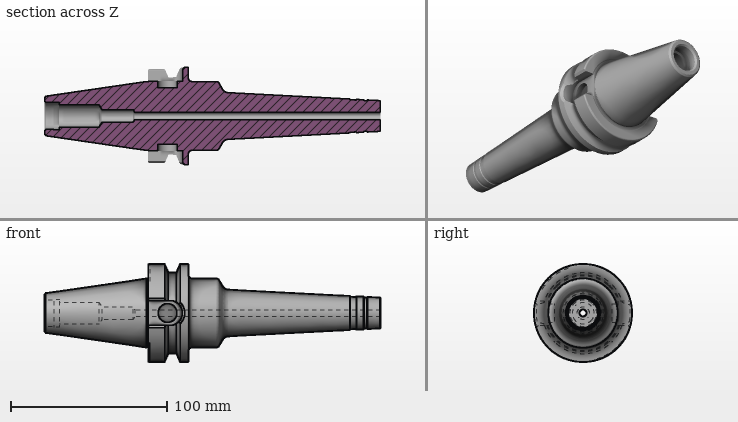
import cadquery as cq
import math


taper_length = 65.4
gauge_diameter = 44.45
taper_ratio = 7 / 24
taper_end_chamfer = 1.0

relief_diameter = 44.0
relief_chamfer = 0.4
face_recess_diameter = 49.2
face_recess_depth = 0.2
face_recess_bevel = 0.6

flange_diameter = 63.0
flange_front_x = 1.0
flange_back_x = 27.0
flange_fillet = 1.0
groove_center_x = 16.6
groove_width = 10.0
groove_floor_width = 5.0
groove_floor_diameter = 52.0

neck_diameter = 44.5
neck_root_fillet = 2.0
neck_edge_fillet = 2.5
neck_end_x = 45.9
shoulder_angle = 60.0
shoulder_foot_fillet = 4.0

tip_x = 150.0
tip_diameter = 20.0
cone_angle = 3.0
tip_chamfer = 0.5
ring_grooves = [(130.1, 134.7), (139.0, 141.6)]
ring_groove_depth = 0.45

slot_width = 16.0
slot_end_center_x = 15.0
slot_floor_y = 22.3
slot_chamfer = 1.5
dimple_diameter = 12.0
dimple_x = 13.5
dimple_depth = 4.0

pilot_diameter = 17.0
pilot_chamfer = 1.0
pilot_depth = 6.0
undercut_diameter = 17.6
undercut_end_depth = 9.5
thread_bore_diameter = 13.84
thread_bore_depth = 35.0
middle_bore_diameter = 8.0
middle_bore_length = 20.0
through_diameter = 4.3
drill_point_angle = 118.0

TOLERANCE = 0.01

taper_start_x = -taper_length
taper_end_radius = (gauge_diameter - taper_length * taper_ratio) / 2


def cone_radius(x):
    return tip_diameter / 2 + (tip_x - x) * math.tan(math.radians(cone_angle))


def revolve(points):
    return cq.Workplane("XY").polyline(points).close().revolve(360, (0, 0, 0), (1, 0, 0))


def circles_at(x, diameter):
    """Selector for circular edges centred on the axis at x, no wider than the diameter."""
    reach = diameter / 2 + TOLERANCE
    return cq.selectors.BoxSelector(
        (x - TOLERANCE, -reach, -reach), (x + TOLERANCE, reach, reach), boundingbox=True
    )


def make_taper():
    """Taper and the short relief that joins it to the flange."""
    gauge_radius = gauge_diameter / 2
    relief_radius = relief_diameter / 2
    joint_x = flange_front_x + face_recess_depth
    return revolve([
        (taper_start_x, 0),
        (taper_start_x, taper_end_radius - taper_end_chamfer),
        (taper_start_x + taper_end_chamfer, taper_end_radius + taper_end_chamfer * taper_ratio / 2),
        (0, gauge_radius),
        (relief_chamfer, relief_radius),
        (joint_x, relief_radius),
        (joint_x, 0),
    ])


def make_flange_profile():
    """Turned shape of the flange: rounded rims, V groove and recessed front face."""
    radius = flange_diameter / 2
    floor_radius = groove_floor_diameter / 2
    recess_radius = face_recess_diameter / 2
    recess_x = flange_front_x + face_recess_depth
    disc = revolve([
        (recess_x, 0),
        (recess_x, recess_radius - face_recess_bevel),
        (flange_front_x, recess_radius),
        (flange_front_x, radius),
        (groove_center_x - groove_width / 2, radius),
        (groove_center_x - groove_floor_width / 2, floor_radius),
        (groove_center_x + groove_floor_width / 2, floor_radius),
        (groove_center_x + groove_width / 2, radius),
        (flange_back_x, radius),
        (flange_back_x, 0),
    ])
    outer_rim = cq.selectors.RadiusNthSelector(-1)
    disc = disc.faces("<X").edges(outer_rim).fillet(flange_fillet)
    return disc.faces(">X").edges().fillet(flange_fillet)


def make_slot_cutter(side):
    """Round-ended slot, open towards the taper, on the +Y (side = 1) or -Y (side = -1) side."""
    depth = flange_diameter / 2
    straight_length = slot_end_center_x - flange_front_x
    plane = cq.Workplane("XZ", origin=(slot_end_center_x, side * slot_floor_y, 0))
    straight = plane.center(-straight_length / 2, 0).rect(straight_length, slot_width).extrude(-side * depth)
    return straight.union(plane.circle(slot_width / 2).extrude(-side * depth))


def make_flange():
    """Flange with two drive slots whose outer edges are chamfered."""
    blank = (
        cq.Workplane("YZ", origin=(flange_front_x, 0, 0))
        .circle(flange_diameter / 2).extrude(flange_back_x - flange_front_x)
    )
    for side in (-1, 1):
        blank = blank.cut(make_slot_cutter(side))
    edge_reach = slot_width / 2 + TOLERANCE
    wall_middle_y = (slot_floor_y + flange_diameter / 2) / 2
    for side in (-1, 1):
        near_y, far_y = sorted((side * wall_middle_y, side * flange_diameter))
        slot_rim = cq.selectors.BoxSelector(
            (flange_front_x + TOLERANCE, near_y, -edge_reach), (flange_back_x - TOLERANCE, far_y, edge_reach)
        )
        blank = blank.edges(slot_rim).chamfer(slot_chamfer)
    return blank.intersect(make_flange_profile())


def make_dimple(side):
    """Round recess in the floor of the drive slot on the given side."""
    return (
        cq.Workplane("XZ", origin=(dimple_x, side * slot_floor_y, 0))
        .circle(dimple_diameter / 2).extrude(side * dimple_depth)
    )


def make_neck_and_cone():
    """Neck, sloping shoulder and slender cone; starts with a disc inside the flange."""
    neck_radius = neck_diameter / 2
    root_radius = neck_radius + 2 * neck_root_fillet
    root_x = flange_back_x - flange_fillet
    shoulder_slope = math.tan(math.radians(shoulder_angle))
    cone_slope = math.tan(math.radians(cone_angle))
    foot_x = neck_end_x + (neck_radius - cone_radius(neck_end_x)) / (shoulder_slope - cone_slope)
    body = revolve([
        (root_x, 0),
        (root_x, root_radius),
        (flange_back_x, root_radius),
        (flange_back_x, neck_radius),
        (neck_end_x, neck_radius),
        (foot_x, cone_radius(foot_x)),
        (tip_x - tip_chamfer, cone_radius(tip_x - tip_chamfer)),
        (tip_x, tip_diameter / 2 - tip_chamfer),
        (tip_x, 0),
    ])
    body = body.edges(circles_at(flange_back_x, neck_diameter)).fillet(neck_root_fillet)
    body = body.edges(circles_at(neck_end_x, neck_diameter)).fillet(neck_edge_fillet)
    return body.edges(circles_at(foot_x, neck_diameter)).fillet(shoulder_foot_fillet)


def make_ring_groove(start_x, end_x):
    """Shallow groove around the cone with 45 degree walls."""
    floor_start_x = start_x + ring_groove_depth
    floor_end_x = end_x - ring_groove_depth
    return revolve([
        (start_x, cone_radius(start_x)),
        (floor_start_x, cone_radius(floor_start_x) - ring_groove_depth),
        (floor_end_x, cone_radius(floor_end_x) - ring_groove_depth),
        (end_x, cone_radius(end_x)),
    ])


def make_bore():
    """Through bore: pilot, undercut and thread bore, then two narrower steps with drill-point floors."""
    drill_slope = math.tan(math.radians(drill_point_angle / 2))
    pilot_radius = pilot_diameter / 2
    undercut_radius = undercut_diameter / 2
    thread_radius = thread_bore_diameter / 2
    middle_radius = middle_bore_diameter / 2
    through_radius = through_diameter / 2
    pilot_end_x = taper_start_x + pilot_depth
    undercut_end_x = taper_start_x + undercut_end_depth
    thread_end_x = taper_start_x + thread_bore_depth
    middle_start_x = thread_end_x + (thread_radius - middle_radius) / drill_slope
    middle_end_x = middle_start_x + middle_bore_length
    through_start_x = middle_end_x + (middle_radius - through_radius) / drill_slope
    return revolve([
        (taper_start_x, 0),
        (taper_start_x, pilot_radius + pilot_chamfer),
        (taper_start_x + pilot_chamfer, pilot_radius),
        (pilot_end_x, pilot_radius),
        (pilot_end_x, undercut_radius),
        (undercut_end_x, undercut_radius),
        (undercut_end_x, thread_radius),
        (thread_end_x, thread_radius),
        (middle_start_x, middle_radius),
        (middle_end_x, middle_radius),
        (through_start_x, through_radius),
        (tip_x, through_radius),
        (tip_x, 0),
    ])


result = make_taper().union(make_flange()).union(make_neck_and_cone())
for start_x, end_x in ring_grooves:
    result = result.cut(make_ring_groove(start_x, end_x))
for side in (-1, 1):
    result = result.cut(make_dimple(side))
result = result.cut(make_bore())